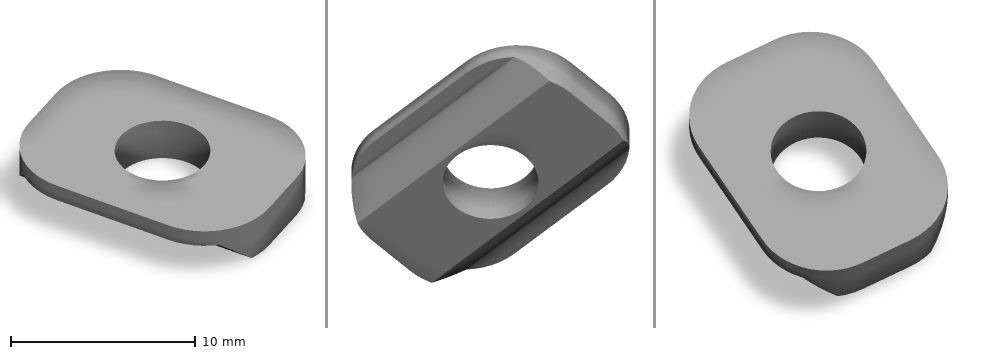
import cadquery as cq

length = 15.0
width = 11.0
height = 2.6
corner_radius = 4.0
hole_diameter = 5.2

flange_thickness = 1.0
rib_top_width = 9.0
rib_depth = height - flange_thickness
rib_bottom_width = rib_top_width - 2 * rib_depth


def rounded_block():
    """Full-height block with rounded vertical corners, standing on Z = 0."""
    block = cq.Workplane("XY").box(length, width, height, centered=(True, True, False))
    return block.edges("|Z").fillet(corner_radius)


def flange_and_rib():
    """Cross-section of the flange and rib in YZ, extruded along the whole length."""
    section = [
        (-rib_bottom_width / 2, 0),
        (rib_bottom_width / 2, 0),
        (rib_top_width / 2, rib_depth),
        (width / 2, rib_depth),
        (width / 2, height),
        (-width / 2, height),
        (-width / 2, rib_depth),
        (-rib_top_width / 2, rib_depth),
    ]
    return cq.Workplane("YZ").polyline(section).close().extrude(length / 2, both=True)


body = rounded_block().intersect(flange_and_rib())

result = body.faces(">Z").workplane(origin=(0, 0, height)).hole(hole_diameter)